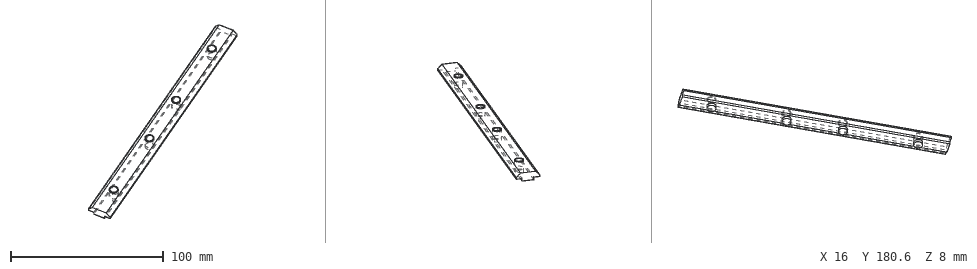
import cadquery as cq

rail_length = 180.6
flange_width = 16.0
top_width = 10.3
stem_width = 8.0
flange_height = 4.2
lip_height = 1.3
stem_height = 1.8

screw_diameter = 6.0
screw_chamfer = 0.5
screw_protrusion = 2.0
inner_screw_offset = 19.0
outer_screw_offset = 69.7

stem_bottom = -stem_height
screw_bottom = stem_bottom - screw_protrusion
screw_length = flange_height - screw_bottom
screw_positions = [
    (0, -outer_screw_offset),
    (0, -inner_screw_offset),
    (0, inner_screw_offset),
    (0, outer_screw_offset),
]


def make_rail():
    """Extrude the symmetric rail section and bore the screw holes through it."""
    half_section = [
        (0, stem_bottom),
        (stem_width / 2, stem_bottom),
        (stem_width / 2, 0),
        (flange_width / 2, 0),
        (flange_width / 2, lip_height),
        (top_width / 2, flange_height),
        (0, flange_height),
    ]
    bar = (
        cq.Workplane("XZ")
        .polyline(half_section)
        .mirrorY()
        .extrude(rail_length / 2, both=True)
    )
    bores = (
        cq.Workplane("XY")
        .workplane(offset=stem_bottom)
        .pushPoints(screw_positions)
        .circle(screw_diameter / 2)
        .extrude(flange_height - stem_bottom)
    )
    return bar.cut(bores)


def make_set_screw(x, y):
    """Make one cylindrical set screw with a chamfered upper end."""
    return (
        cq.Workplane("XY", origin=(x, y, screw_bottom))
        .circle(screw_diameter / 2)
        .extrude(screw_length)
        .faces(">Z")
        .chamfer(screw_chamfer)
    )


rail = make_rail()
set_screws = [make_set_screw(x, y) for x, y in screw_positions]

result = cq.Compound.makeCompound([rail.val(), *[screw.val() for screw in set_screws]])